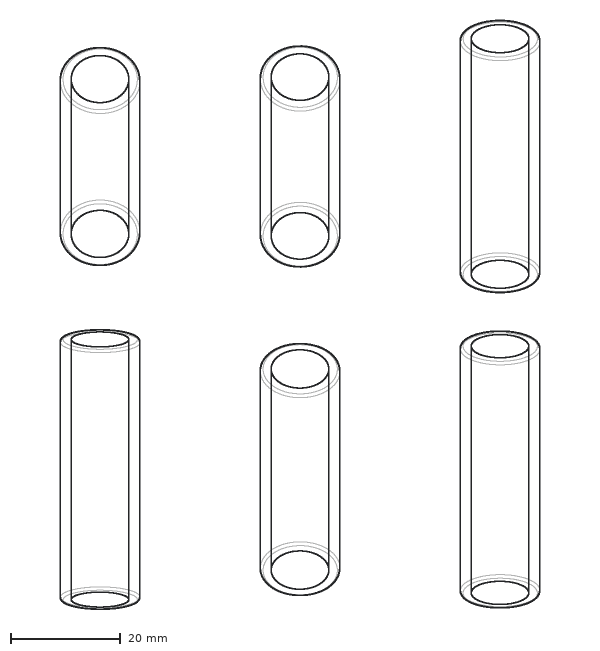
import cadquery as cq

length = 49.0
outer_diameter = 14.5
bore_diameter = 10.5
edge_radius = 0.5

body = (
    cq.Workplane("XY")
    .circle(outer_diameter / 2)
    .extrude(length)
    .faces("<Z or >Z")
    .edges()
    .fillet(edge_radius)
)

bore = cq.Workplane("XY").circle(bore_diameter / 2).extrude(length)

result = body.cut(bore)